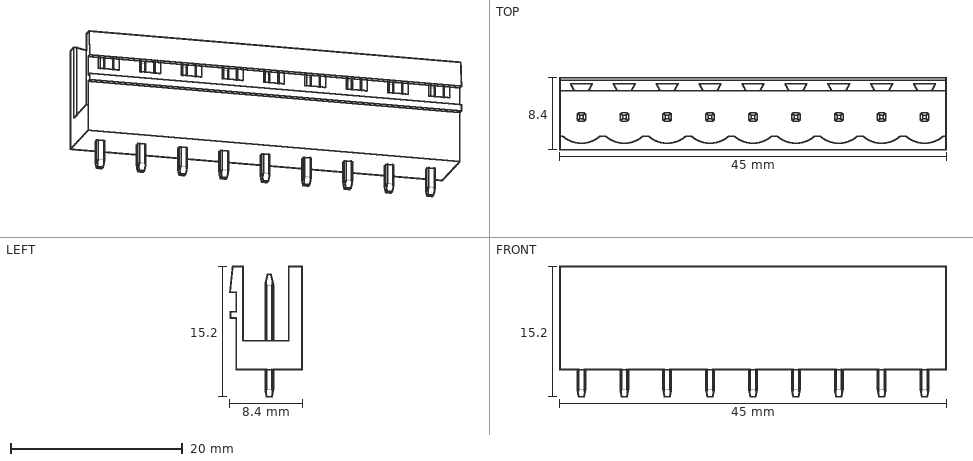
import cadquery as cq

PIN_COUNT = 9
LENGTH = 45.0
PITCH = LENGTH / PIN_COUNT

BASE_DEPTH = 7.7
HOUSING_HEIGHT = 12.0
FLOOR_THICKNESS = 3.38
FRONT_WALL = 1.58
BACK_WALL = 0.8

LIP_BOTTOM_Z = 9.0
LIP_TOP_OVERHANG = 0.4
LIP_BOTTOM_OVERHANG = 0.7
RIB_BOTTOM_Z = 6.0
RIB_HEIGHT = 0.75
RIB_OVERHANG = 0.68

SCALLOP_DEPTH = 0.8
SCALLOP_LAND = 0.68
SCALLOP_WIDTH = PITCH - SCALLOP_LAND

SLOT_INNER_WIDTH = 1.65
SLOT_OUTER_WIDTH = 2.5
SLOT_BOTTOM_Z = 7.7

PIN_WIDTH = 1.0
PIN_CORNER_CHAMFER = 0.2
TOP_TIP_WIDTH = 0.4
TOP_TAPER_LENGTH = 1.25
BOTTOM_TIP_WIDTH = 0.65
BOTTOM_TAPER_LENGTH = 0.9
PIN_BOTTOM_Z = -3.2
PIN_TOP_Z = 11.1
PIN_Y = 3.82

PIN_CENTERS_X = [PITCH * (index + 0.5) for index in range(PIN_COUNT)]


def make_channel():
    """Constant cross-section of the housing, extruded along X."""
    back_inner_y = BASE_DEPTH - BACK_WALL
    rib_top_z = RIB_BOTTOM_Z + RIB_HEIGHT
    profile = [
        (0, 0),
        (BASE_DEPTH, 0),
        (BASE_DEPTH, RIB_BOTTOM_Z),
        (BASE_DEPTH + RIB_OVERHANG, RIB_BOTTOM_Z),
        (BASE_DEPTH + RIB_OVERHANG, rib_top_z),
        (BASE_DEPTH, rib_top_z),
        (BASE_DEPTH, LIP_BOTTOM_Z),
        (BASE_DEPTH + LIP_BOTTOM_OVERHANG, LIP_BOTTOM_Z),
        (BASE_DEPTH + LIP_TOP_OVERHANG, HOUSING_HEIGHT),
        (back_inner_y, HOUSING_HEIGHT),
        (back_inner_y, FLOOR_THICKNESS),
        (FRONT_WALL, FLOOR_THICKNESS),
        (FRONT_WALL, HOUSING_HEIGHT),
        (0, HOUSING_HEIGHT),
    ]
    return cq.Workplane("YZ").polyline(profile).close().extrude(LENGTH)


def make_scallop(center_x):
    """Cutter for one arc-shaped hollow in the front wall, down to the floor."""
    half_width = SCALLOP_WIDTH / 2
    return (
        cq.Workplane("XY", origin=(center_x, FRONT_WALL, FLOOR_THICKNESS))
        .moveTo(-half_width, 0)
        .threePointArc((0, -SCALLOP_DEPTH), (half_width, 0))
        .close()
        .extrude(HOUSING_HEIGHT - FLOOR_THICKNESS)
    )


def make_slot(center_x):
    """Cutter for one dovetail slot through the back wall, wider toward the lip."""
    half_inner = SLOT_INNER_WIDTH / 2
    half_outer = SLOT_OUTER_WIDTH / 2
    return (
        cq.Workplane("XY", origin=(center_x, BASE_DEPTH, SLOT_BOTTOM_Z))
        .polyline([
            (-half_inner, -BACK_WALL),
            (half_inner, -BACK_WALL),
            (half_outer, 0),
            (-half_outer, 0),
        ])
        .close()
        .extrude(HOUSING_HEIGHT - SLOT_BOTTOM_Z)
    )


def make_taper(base_z, tip_z, tip_width):
    """Square frustum narrowing from the pin width at base_z to tip_width at tip_z."""
    return (
        cq.Workplane("XY", origin=(0, 0, base_z))
        .rect(PIN_WIDTH, PIN_WIDTH)
        .workplane(offset=tip_z - base_z)
        .rect(tip_width, tip_width)
        .loft(ruled=True)
    )


def make_pin(center_x):
    """One contact pin, standing at center_x."""
    shank_bottom_z = PIN_BOTTOM_Z + BOTTOM_TAPER_LENGTH
    shank_top_z = PIN_TOP_Z - TOP_TAPER_LENGTH
    chamfered_bar = (
        cq.Workplane("XY", origin=(0, 0, PIN_BOTTOM_Z))
        .rect(PIN_WIDTH, PIN_WIDTH)
        .extrude(PIN_TOP_Z - PIN_BOTTOM_Z)
        .edges("|Z")
        .chamfer(PIN_CORNER_CHAMFER)
    )
    tapered_envelope = (
        cq.Workplane("XY", origin=(0, 0, shank_bottom_z))
        .rect(PIN_WIDTH, PIN_WIDTH)
        .extrude(shank_top_z - shank_bottom_z)
        .union(make_taper(shank_bottom_z, PIN_BOTTOM_Z, BOTTOM_TIP_WIDTH))
        .union(make_taper(shank_top_z, PIN_TOP_Z, TOP_TIP_WIDTH))
    )
    return chamfered_bar.intersect(tapered_envelope).translate((center_x, PIN_Y, 0))


pins = [make_pin(center_x) for center_x in PIN_CENTERS_X]

housing = make_channel()
for center_x, pin in zip(PIN_CENTERS_X, pins):
    housing = housing.cut(make_scallop(center_x))
    housing = housing.cut(make_slot(center_x))
    housing = housing.cut(pin)

result = cq.Compound.makeCompound([housing.val(), *[pin.val() for pin in pins]])